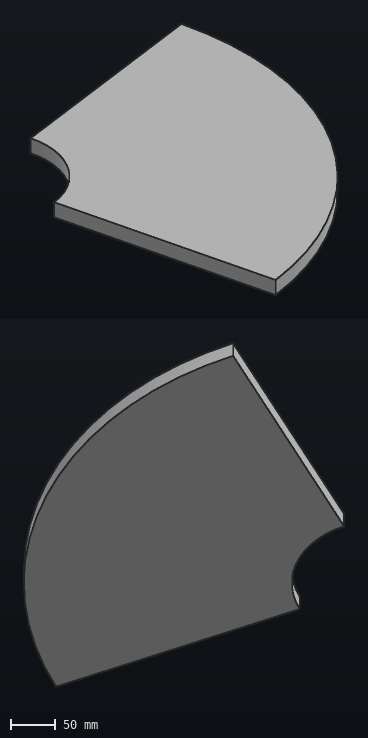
import cadquery as cq

outer_radius = 400.0
inner_radius = 100.0
thickness = 20.0
sweep_angle = 90.0


def make_quarter_panel():
    """Flat quarter ring centred on the Z axis, between the +X and +Y axes."""
    return cq.Workplane("XY").add(
        cq.Solid.makeCylinder(outer_radius, thickness, angleDegrees=sweep_angle)
    ).cut(cq.Workplane("XY").circle(inner_radius).extrude(thickness))


quarter_panel = make_quarter_panel()

result = cq.Compound.makeCompound([quarter_panel.val()])